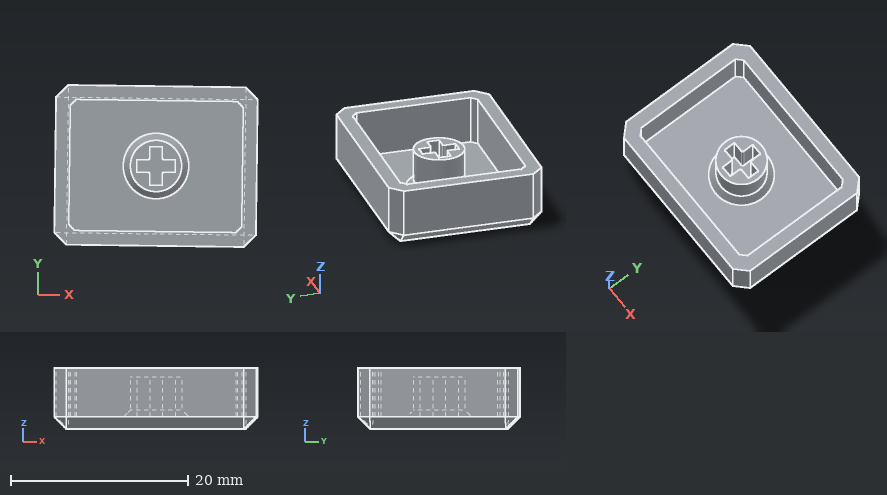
import cadquery as cq

LENGTH = 22.8
WIDTH = 18.06
HEIGHT = 6.9
EDGE_CHAMFER = 1.38
TURN = -0.75

WALL = 1.63
FLOOR = 1.38
CAVITY_CHAMFER = 0.67

STEM_DIAMETER = 5.8
STEM_RECESS = 1.0
FLARE = 0.8

CROSS_SPAN = 4.35
CROSS_ARM = 1.4
CROSS_FILLET = 0.2


def chamfered_block():
    """Solid block with its upright and bottom edges chamfered."""
    block = cq.Workplane("XY").box(LENGTH, WIDTH, HEIGHT, centered=(True, True, False))
    return block.edges("|Z or <Z").chamfer(EDGE_CHAMFER)


def cavity():
    """Pocket from the rim down to the floor, with chamfered corners."""
    return (
        cq.Workplane("XY")
        .workplane(offset=FLOOR)
        .rect(LENGTH - 2 * WALL, WIDTH - 2 * WALL)
        .extrude(HEIGHT - FLOOR)
        .edges("|Z")
        .chamfer(CAVITY_CHAMFER)
    )


def stem():
    """Round post with a conical foot, revolved about Z from inside the floor."""
    radius = STEM_DIAMETER / 2
    top = HEIGHT - STEM_RECESS
    root = FLOOR / 2
    profile = [
        (0, root),
        (radius + FLARE, root),
        (radius + FLARE, FLOOR),
        (radius, FLOOR + FLARE),
        (radius, top),
        (0, top),
    ]
    return cq.Workplane("XZ").polyline(profile).close().revolve(360, (0, 0), (0, 1))


def cross_socket():
    """Cross-shaped cutter with rounded inner corners."""
    depth = HEIGHT - FLOOR
    plane = cq.Workplane("XY").workplane(offset=FLOOR)
    cross = plane.rect(CROSS_SPAN, CROSS_ARM).extrude(depth)
    cross = cross.union(plane.rect(CROSS_ARM, CROSS_SPAN).extrude(depth))
    core = cq.selectors.BoxSelector(
        (-CROSS_ARM, -CROSS_ARM, 0), (CROSS_ARM, CROSS_ARM, HEIGHT)
    )
    return cross.edges("|Z").edges(core).fillet(CROSS_FILLET)


tray = chamfered_block().cut(cavity()).rotate((0, 0, 0), (0, 0, 1), TURN)
result = tray.union(stem()).cut(cross_socket())